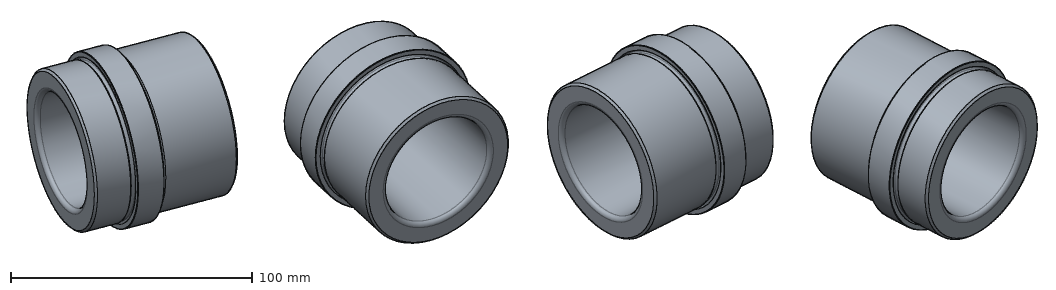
import cadquery as cq
import math

length = 65.0
flange_diameter = 76.0
body_diameter = 70.0
bore_diameter = 50.0

flange_start = 18.0
flange_width = 12.0
flange_chamfer = 0.2
end_chamfer = 1.0
bore_rounding = 2.0

groove_width = 2.0
groove_depth = 0.5
undercut_diameter = 71.45
undercut_rounding = 0.4

flange_end = flange_start + flange_width


def cylinder(diameter, start, end):
    """Solid cylinder along +Y between two distances from the short end."""
    plane = cq.Workplane("XZ", origin=(0, start, 0))
    return plane.circle(diameter / 2).extrude(start - end)


def relief_groove(flange_face, direction):
    """Ring cutter beside a flange face, undercutting it; direction is -1 or +1 along Y."""
    body_radius = body_diameter / 2
    floor_radius = body_radius - groove_depth
    rim_radius = undercut_diameter / 2
    outer_edge = flange_face + direction * groove_width
    floor_edge = outer_edge - direction * groove_depth

    corner = flange_face - direction * (rim_radius - floor_radius)
    corner_angle = math.radians(45)
    tangent_length = undercut_rounding / math.tan(corner_angle / 2)
    arc_centre_radius = floor_radius + undercut_rounding
    arc_centre = corner + direction * tangent_length
    diagonal = undercut_rounding * math.sin(corner_angle)
    wall_tangent = (arc_centre_radius + diagonal, arc_centre - direction * diagonal)
    half_sweep = (math.pi - corner_angle) / 2
    arc_middle = (
        arc_centre_radius - undercut_rounding * math.cos(half_sweep),
        arc_centre - direction * undercut_rounding * math.sin(half_sweep),
    )
    return (
        cq.Workplane("XY")
        .moveTo(floor_radius, arc_centre)
        .lineTo(floor_radius, floor_edge)
        .lineTo(body_radius, outer_edge)
        .lineTo(rim_radius, outer_edge)
        .lineTo(rim_radius, flange_face)
        .lineTo(*wall_tangent)
        .threePointArc(arc_middle, (floor_radius, arc_centre))
        .close()
        .revolve(360, (0, 0, 0), (0, 1, 0))
    )


body = cylinder(body_diameter, 0, length).faces("<Y or >Y").chamfer(end_chamfer)

flange = cylinder(flange_diameter, flange_start, flange_end)
flange = flange.faces("<Y or >Y").chamfer(flange_chamfer)
bushing = body.union(flange)

bushing = bushing.cut(relief_groove(flange_start, -1))
bushing = bushing.cut(relief_groove(flange_end, 1))

bushing = bushing.cut(cylinder(bore_diameter, 0, length))
bore_mouths = cq.selectors.RadiusNthSelector(0)
result = bushing.faces("<Y or >Y").edges(bore_mouths).fillet(bore_rounding)

result = result.translate((0, -length / 2, 0))